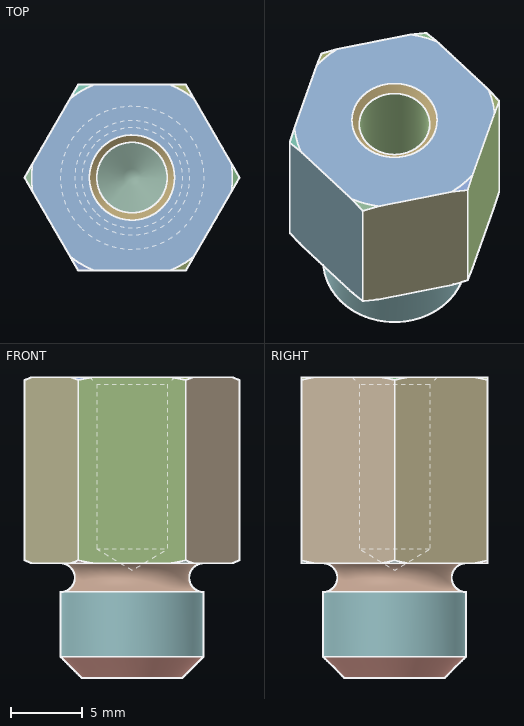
import cadquery as cq
import math

total_height = 21
hex_flats = 13.0
hex_height = 13.0
hex_corners = hex_flats / math.cos(math.radians(30))

hex_face_diameter = 14.0
corner_chamfer_angle = 23
envelope_margin = 0.2

stud_diameter = 10.0
stud_chamfer = 1.5
undercut_height = 2.0

hole_diameter = 4.91
hole_depth = 12.0
countersink_diameter = 5.95
drill_point_angle = 118

hex_bottom = total_height - hex_height


def make_hexagon():
    """Hexagon with its corners turned down by a cone at both ends."""
    prism = (
        cq.Workplane("XY").workplane(offset=hex_bottom)
        .polygon(6, hex_corners).extrude(hex_height)
    )
    face_radius = hex_face_diameter / 2
    outer_radius = hex_corners / 2 + envelope_margin
    drop = (outer_radius - face_radius) * math.tan(math.radians(corner_chamfer_angle))
    envelope = (
        cq.Workplane("XZ")
        .moveTo(0, hex_bottom)
        .lineTo(face_radius, hex_bottom)
        .lineTo(outer_radius, hex_bottom + drop)
        .lineTo(outer_radius, total_height - drop)
        .lineTo(face_radius, total_height)
        .lineTo(0, total_height)
        .close()
        .revolve(360, (0, 0), (0, 1))
    )
    return prism.intersect(envelope)


def make_stud():
    """Chamfered stud with a semicircular undercut next to the hexagon."""
    stud_radius = stud_diameter / 2
    undercut_radius = undercut_height / 2
    neck_radius = stud_radius - undercut_radius
    shoulder = hex_bottom - undercut_height
    return (
        cq.Workplane("XZ")
        .lineTo(stud_radius - stud_chamfer, 0)
        .lineTo(stud_radius, stud_chamfer)
        .lineTo(stud_radius, shoulder)
        .threePointArc((neck_radius, shoulder + undercut_radius), (stud_radius, hex_bottom))
        .lineTo(0, hex_bottom)
        .close()
        .revolve(360, (0, 0), (0, 1))
    )


def make_hole():
    """Blind drilled hole with a 45 degree countersink and a conical bottom."""
    hole_radius = hole_diameter / 2
    countersink_radius = countersink_diameter / 2
    countersink_depth = countersink_radius - hole_radius
    hole_bottom = total_height - hole_depth
    point_depth = hole_radius / math.tan(math.radians(drill_point_angle / 2))
    return (
        cq.Workplane("XZ")
        .moveTo(0, hole_bottom - point_depth)
        .lineTo(hole_radius, hole_bottom)
        .lineTo(hole_radius, total_height - countersink_depth)
        .lineTo(countersink_radius, total_height)
        .lineTo(0, total_height)
        .close()
        .revolve(360, (0, 0), (0, 1))
    )


result = make_hexagon().union(make_stud()).cut(make_hole())